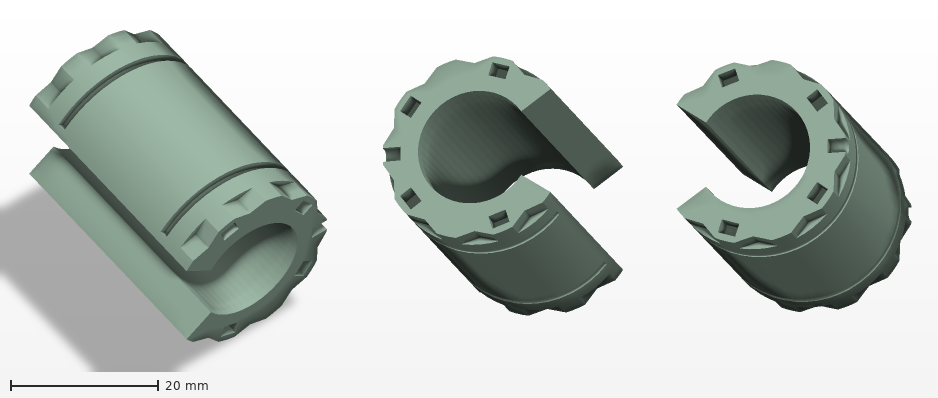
import cadquery as cq
import math

length = 36.0
outer_radius = 13.0
bore_radius = 8.0
slit_half_angle = 34.4

groove_radius = 12.0
groove_start = 5.72
groove_width = 1.25
groove_half_angle = 39.8

notch_pitch = 36.0
notch_apex_radius = 12.0
notch_slope = 15.5
notch_depth = 2.9
pocket_angles = (72.0, 144.0, 216.0, 288.0)
pocket_radius = 11.12
pocket_width = 2.55
pocket_height = 1.87
pocket_depth = notch_depth

key_radius = 0.97
key_straight = 0.83
key_floor = 10.45

cutter_reach = 2 * outer_radius


def tube(inner, outer, start, width):
    """Ring about the X axis, beginning at X = start."""
    plane = cq.Workplane("YZ", origin=(start, 0, 0))
    return plane.circle(outer).circle(inner).extrude(width)


def slit_wedge(half_angle):
    """Full-length wedge with its edge on the axis, opening towards -Y."""
    reach_z = cutter_reach * math.tan(math.radians(half_angle))
    corners = [(0, 0), (-cutter_reach, reach_z), (-cutter_reach, -reach_z)]
    return cq.Workplane("YZ").polyline(corners).close().extrude(length)


def turned(shape, angle):
    """Turn a shape about the X axis; angle runs from -Y up towards +Z."""
    return shape.rotate((0, 0, 0), (1, 0, 0), -angle)


def v_notch():
    """Notch cutter at the -Y side of the X = 0 end."""
    rise = 2 * (outer_radius - notch_apex_radius)
    half_width = rise / math.tan(math.radians(notch_slope))
    rim = -notch_apex_radius - rise
    corners = [(-notch_apex_radius, 0), (rim, half_width), (rim, -half_width)]
    return cq.Workplane("YZ").polyline(corners).close().extrude(notch_depth)


def pocket():
    """Rectangular pocket cutter at the -Y side of the X = 0 end."""
    plane = cq.Workplane("YZ").center(-pocket_radius, 0)
    return plane.rect(pocket_height, pocket_width).extrude(pocket_depth)


def key_slot():
    """Round-ended cutter along +Y, open at the X = 0 end face."""
    plane = cq.Workplane("XZ", origin=(0, key_floor, 0))
    outline = (
        plane.moveTo(0, -key_radius)
        .lineTo(key_straight, -key_radius)
        .threePointArc((key_straight + key_radius, 0), (key_straight, key_radius))
        .lineTo(0, key_radius)
        .close()
    )
    return outline.extrude(-cutter_reach)


def cut_both_ends(body, cutter):
    """Cut at the X = 0 end and at its mirror image."""
    far_cutter = cutter.mirror("YZ").translate((length, 0, 0))
    return body.cut(cutter).cut(far_cutter)


def groove():
    """Groove cutter near the X = 0 end, leaving the slit side uncut."""
    ring = tube(groove_radius, cutter_reach, groove_start, groove_width)
    return ring.cut(slit_wedge(groove_half_angle))


result = tube(bore_radius, outer_radius, 0, length).cut(slit_wedge(slit_half_angle))
result = cut_both_ends(result, groove())

for step in range(round(360 / notch_pitch)):
    notch_angle = (step + 0.5) * notch_pitch
    if slit_half_angle < notch_angle < 360 - slit_half_angle:
        result = cut_both_ends(result, turned(v_notch(), notch_angle))

for pocket_angle in pocket_angles:
    result = cut_both_ends(result, turned(pocket(), pocket_angle))

result = cut_both_ends(result, key_slot())